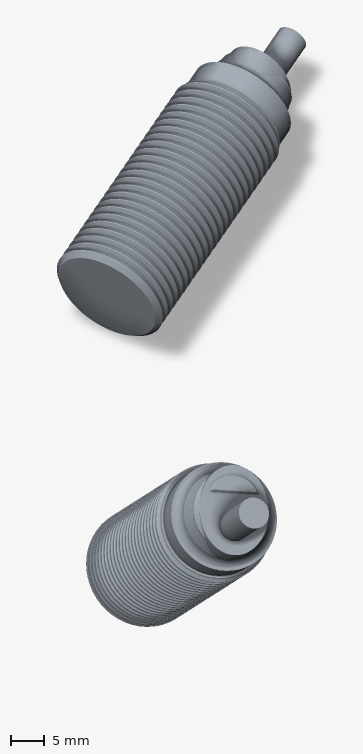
import cadquery as cq
import math

total_length = 55.9

thread_radius = 9.0
root_radius = 8.2
bore_radius = 7.65
sleeve_length = 40.05
thread_end = 37.0
first_crest = 0.85
last_crest = 35.85
full_ridge_count = 24
thread_pitch = (last_crest - first_crest) / (full_ridge_count - 1)
flank_angle = 30
crest_width = 0.15
thread_height = thread_radius - root_radius
flank_width = thread_height * math.tan(math.radians(flank_angle))
ridge_half_width = crest_width / 2 + flank_width

collar_end = 40.9
cap_end = 45.95
neck_start_radius = 7.7
neck_middle_radius = 6.7
neck_middle = 42.45
neck_top_radius = 6.05
neck_top = 44.75
bevel_start = 45.05
cap_end_radius = 5.3
flare_sag = 0.3
hood_half_width = 5.35
hood_half_height = 6.8

window_width = 7.8
window_height = 2.85
window_bottom = 2.5
window_thickness = 0.45
window_slope = 36

cable_radius = 2.35
cable_offset = -cable_radius


def revolve_about_y(profile):
    """Spin a closed outline of (radius, y) points around the Y axis."""
    return profile.close().revolve(360, (0, 0, 0), (0, 1, 0))


def rear_facing_plane(start_y):
    """Sketch plane facing +Y at the given position, with local y along Z."""
    return cq.Workplane(cq.Plane((0, start_y, 0), (-1, 0, 0), (0, 1, 0)))


def make_sleeve():
    """Tubular sleeve with ring-shaped thread ridges, bevelled at the sensing face."""
    profile = cq.Workplane("XY").moveTo(bore_radius, 0).lineTo(root_radius, 0)
    for ridge in range(full_ridge_count):
        crest = first_crest + ridge * thread_pitch
        if ridge > 0:
            profile = profile.lineTo(root_radius, crest - ridge_half_width)
        profile = profile.lineTo(thread_radius, crest - crest_width / 2)
        profile = profile.lineTo(thread_radius, crest + crest_width / 2)
        profile = profile.lineTo(root_radius, crest + ridge_half_width)

    runout_start = first_crest + full_ridge_count * thread_pitch - ridge_half_width
    runout_height = (thread_end - runout_start) * thread_height / flank_width
    profile = profile.lineTo(root_radius, runout_start)
    profile = profile.lineTo(root_radius + runout_height, thread_end)
    profile = profile.lineTo(root_radius, thread_end)

    profile = profile.lineTo(root_radius, sleeve_length).lineTo(bore_radius, sleeve_length)
    return revolve_about_y(profile)


def make_core():
    """Round core filling the bore, with a collar closing the sleeve and a tapered neck."""
    profile = (
        cq.Workplane("XY")
        .lineTo(bore_radius, 0)
        .lineTo(bore_radius, sleeve_length)
        .lineTo(root_radius, sleeve_length)
        .lineTo(root_radius, collar_end)
        .lineTo(neck_start_radius, collar_end)
        .sagittaArc((neck_middle_radius, neck_middle), flare_sag)
        .lineTo(neck_top_radius, neck_top)
        .lineTo(neck_top_radius, bevel_start)
        .lineTo(cap_end_radius, cap_end)
        .lineTo(0, cap_end)
    )
    return revolve_about_y(profile)


def make_hood():
    """Elliptical block that stands out above and below the neck."""
    hood = rear_facing_plane(collar_end).ellipse(hood_half_width, hood_half_height)
    return hood.extrude(cap_end - collar_end)


def make_window():
    """Raised D-shaped window above the cable, with sloping sides."""
    half_width = window_width / 2
    window = (
        rear_facing_plane(cap_end)
        .center(0, window_bottom)
        .moveTo(-half_width, 0)
        .lineTo(half_width, 0)
        .threePointArc((0, window_height), (-half_width, 0))
        .close()
    )
    return window.extrude(window_thickness, taper=window_slope)


def make_cable():
    """Round cable leaving the rear face below the axis."""
    cable = rear_facing_plane(cap_end).center(0, cable_offset).circle(cable_radius)
    return cable.extrude(total_length - cap_end)


def make_insert():
    """One-piece insert: core, hood, window and cable."""
    return make_core().union(make_hood()).union(make_window()).union(make_cable())


sleeve = make_sleeve()
insert = make_insert()

result = cq.Compound.makeCompound([sleeve.val(), insert.val()])